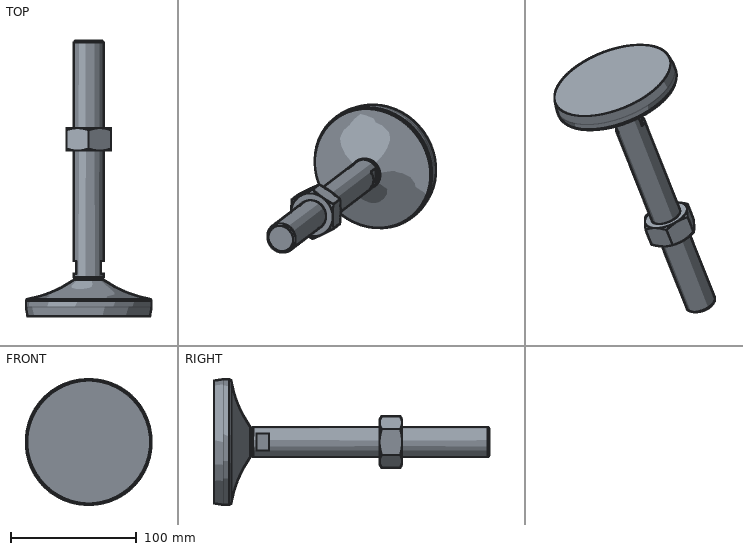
import cadquery as cq
import math

total_length = 219

pad_diameter = 100.0
pad_radius = pad_diameter / 2
pad_bottom_radius = 48.8
taper_height = 7.5
rim_height = 12.0
shoulder_height = 13.8
shoulder_radius = 49.0
flare_middle_radius = 28.3
flare_middle_height = 20.0
hub_radius = 12.3
hub_edge_height = 28.7
hub_top_radius = 9.9
hub_top_height = 30.0

neck_radius = 5.0
stud_radius = 12.0
stud_start = 31.0
stud_chamfer = 1.5

flats_start = 34.0
flats_length = 9.9
flats_width = 20.0

nut_start = 131.6
nut_thickness = 18.0
nut_across_flats = 35.5
nut_chamfer_angle = 30


def revolve_about_y(profile):
    return profile.close().revolve(360, (0, 0, 0), (0, 1, 0))


def cylinder(radius, start, length):
    """Cylinder along +Y, beginning at the given height."""
    base = cq.Workplane("XZ", origin=(0, start, 0))
    return base.circle(radius).extrude(-length)


def make_pad():
    """Tapered rim and a concave flare rising to a small rounded hub."""
    profile = (
        cq.Workplane("XY")
        .lineTo(0, hub_top_height)
        .lineTo(hub_top_radius, hub_top_height)
        .tangentArcPoint((hub_radius, hub_edge_height), relative=False)
        .threePointArc((flare_middle_radius, flare_middle_height), (shoulder_radius, shoulder_height))
        .lineTo(pad_radius, rim_height)
        .lineTo(pad_radius, taper_height)
        .lineTo(pad_bottom_radius, 0)
    )
    return revolve_about_y(profile)


def make_stud():
    """Round stud with a chamfered free end and two wrench flats."""
    stud = cylinder(stud_radius, stud_start, total_length - stud_start)
    stud = stud.faces(">Y").chamfer(stud_chamfer)
    band = cylinder(2 * stud_radius, flats_start, flats_length)
    core = cq.Workplane("XY").box(flats_width, 2 * total_length, 4 * stud_radius)
    return stud.cut(band.cut(core))


def make_nut():
    """Hexagon with corners on +Z and -Z, its ends chamfered by cones."""
    corner_radius = nut_across_flats / math.sqrt(3)
    face_radius = nut_across_flats / 2
    chamfer_depth = (corner_radius - face_radius) * math.tan(math.radians(nut_chamfer_angle))
    nut_end = nut_start + nut_thickness
    hexagon = (
        cq.Workplane("XZ", origin=(0, nut_start, 0))
        .transformed(rotate=(0, 0, 90))
        .polygon(6, 2 * corner_radius)
        .extrude(-nut_thickness)
    )
    envelope = (
        cq.Workplane("XY")
        .moveTo(0, nut_start)
        .lineTo(face_radius, nut_start)
        .lineTo(corner_radius, nut_start + chamfer_depth)
        .lineTo(corner_radius, nut_end - chamfer_depth)
        .lineTo(face_radius, nut_end)
        .lineTo(0, nut_end)
    )
    return hexagon.intersect(revolve_about_y(envelope))


neck = cylinder(neck_radius, hub_top_height, stud_start - hub_top_height)

result = make_pad().union(neck).union(make_stud()).union(make_nut())